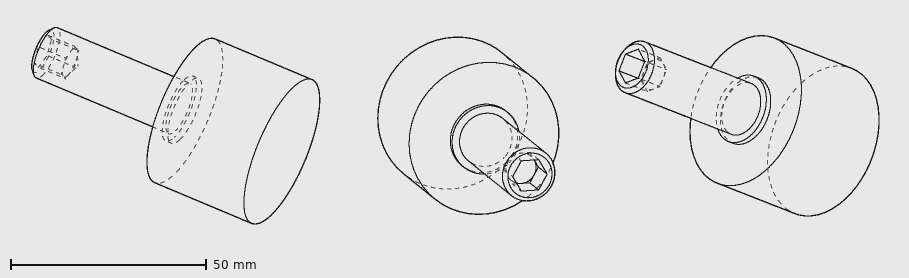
import cadquery as cq
import math

total_length = 70.0
head_diameter = 40.0
head_length = 28.4
collar_diameter = 18.0
collar_length = 1.6
shank_diameter = 14.0
tip_chamfer = 1.1

socket_across_flats = 8.0
socket_depth = 8.0
drill_point_angle = 120.0

shank_length = total_length - head_length - collar_length
head_start = shank_length + collar_length


def cylinder_along_x(start, length, diameter):
    """Cylinder on the X axis, reaching from start towards +X."""
    return cq.Workplane("YZ", origin=(start, 0, 0)).circle(diameter / 2).extrude(length)


def make_body():
    """Chamfered shank, collar and head, joined end to end."""
    shank = cylinder_along_x(0, shank_length, shank_diameter).faces("<X").chamfer(tip_chamfer)
    collar = cylinder_along_x(shank_length, collar_length, collar_diameter)
    head = cylinder_along_x(head_start, head_length, head_diameter)
    return shank.union(collar).union(head)


def make_socket():
    """Hexagonal socket with two flats facing +Z and -Z, ending in a drill cone."""
    across_corners = socket_across_flats / math.cos(math.pi / 6)
    hexagon = cq.Workplane("YZ").polygon(6, across_corners).extrude(socket_depth)
    cone_radius = socket_across_flats / 2
    cone_length = cone_radius / math.tan(math.radians(drill_point_angle / 2))
    cone = cq.Workplane(
        cq.Solid.makeCone(
            cone_radius, 0, cone_length,
            pnt=cq.Vector(socket_depth, 0, 0), dir=cq.Vector(1, 0, 0),
        )
    )
    return hexagon.union(cone)


result = make_body().cut(make_socket())